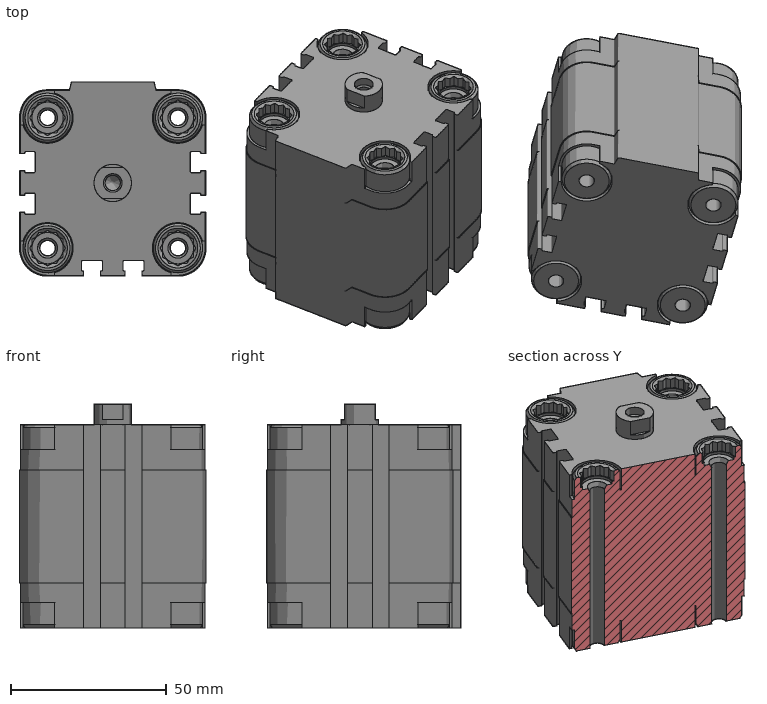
import cadquery as cq
import math

total_height = 72.0
rod_projection = 6.6
housing_height = total_height - rod_projection
barrel_width = 60.0
overall_depth = 62.5
barrel_half = barrel_width / 2
cap_inset = 0.3
cap_half = barrel_half - cap_inset
bottom_cap_height = 14.5
top_cap_height = 14.55
bolt_offset = 20.95

tab_back = overall_depth - barrel_half
tab_back_width = 26.6
tab_root_width = 27.9
tab_fillet = 0.35

slot_spacing = 13.4
slot_mouth_width = 5.4
slot_inner_width = 6.7
slot_floor = 25.0
slot_lip_depth = 1.7
slot_fillet = 0.3

collar_diameter = 15.85
collar_tip_diameter = 14.4
collar_pocket_diameter = 16.4
top_chamfer_height = 0.9
bottom_chamfer_height = 1.15
top_relief_depth = 7.9
bottom_relief_depth = 8.1
relief_reach = 2.3

socket_mouth_diameter = 12.75
socket_cone_depth = 0.7
socket_bore_diameter = 10.1
socket_depth = 5.0
star_tip_diameter = 11.45
star_depth = 4.0
hexagon_corners = 6
countersink_diameter = 6.4
countersink_depth = 1.5
bolt_hole_diameter = 4.9

rod_diameter = 12.0
rod_flat_width = 10.0
rod_flat_height = 5.0
rod_bottom = bottom_cap_height
rod_counterbore_diameter = 6.0
rod_counterbore_depth = 2.7
rod_hole_diameter = 4.9
rod_hole_depth = 18.0
drill_tip_angle = 118.0

bolt_centres = [(sx * bolt_offset, sy * bolt_offset) for sx in (-1, 1) for sy in (-1, 1)]


def cone(large_diameter, small_diameter, height):
    """Truncated cone standing on Z = 0 with its large end down."""
    base = cq.Workplane("XY").circle(large_diameter / 2)
    return base.workplane(offset=height).circle(small_diameter / 2).loft()


def rounded_block(half_width, height):
    """Square block whose corners are concentric with the bolts."""
    block = cq.Workplane("XY").rect(2 * half_width, 2 * half_width).extrude(height)
    return block.edges("|Z").fillet(half_width - bolt_offset)


def rear_tab(root_y, height):
    """Tapered tab on the +Y side, with its root corners on the face at Y = root_y."""
    outline = [
        (-tab_root_width / 2, root_y),
        (-tab_back_width / 2, tab_back),
        (tab_back_width / 2, tab_back),
        (tab_root_width / 2, root_y),
        (tab_root_width / 2, 0),
        (-tab_root_width / 2, 0),
    ]
    tab = cq.Workplane("XY").polyline(outline).close().extrude(height)
    return tab.faces(">Y").edges("|Z").fillet(tab_fillet)


def t_slot(across, height):
    """T-slot along Z, open toward -Y, centred on X = across, with rounded inner corners."""
    inner_depth = barrel_half - slot_lip_depth - slot_floor
    inner = cq.Workplane("XY").box(slot_inner_width, inner_depth, height, centered=(True, False, False))
    mouth_depth = barrel_half - slot_floor
    mouth = cq.Workplane("XY").box(slot_mouth_width, mouth_depth, height, centered=(True, False, False))
    slot = mouth.translate((0, -mouth_depth, 0)).union(inner.translate((0, -inner_depth, 0)))
    slot = slot.edges("|Z and (not <Y)").fillet(slot_fillet)
    return slot.translate((across, -slot_floor, 0))


def housing_section(half_width, z_bottom, z_top):
    """Slotted length of the housing with the rear tab and rounded slot mouths."""
    height = z_top - z_bottom
    section = rounded_block(half_width, height).union(rear_tab(half_width, height))
    tab_root_zone = cq.selectors.BoxSelector(
        (-bolt_offset + tab_fillet, half_width - tab_fillet, 0),
        (bolt_offset - tab_fillet, half_width + tab_fillet, height),
    )
    section = section.edges("|Z").edges(tab_root_zone).fillet(tab_fillet)
    mouth_zone = cq.selectors.BoxSelector(
        (-slot_spacing, -half_width - slot_fillet, 0),
        (slot_spacing, -half_width + slot_fillet, height),
    )
    for side_angle in (0, 90, -90):
        section = section.rotate((0, 0, 0), (0, 0, 1), side_angle)
        for side in (-1, 1):
            section = section.cut(t_slot(side * slot_spacing / 2, height))
        section = section.edges("|Z").edges(mouth_zone).fillet(slot_fillet)
        section = section.rotate((0, 0, 0), (0, 0, 1), -side_angle)
    return section.translate((0, 0, z_bottom))


def corner_relief(depth, chamfer_height):
    """Material removed around one collar whose end is at Z = 0, opening the +X +Y corner of the housing."""
    reach = barrel_half - bolt_offset + relief_reach
    relief = cq.Workplane("XY").box(reach, reach, depth, centered=(False, False, False))
    relief = relief.translate((-relief_reach, -relief_reach, -depth))
    pocket = cq.Workplane("XY").circle(collar_pocket_diameter / 2).extrude(-depth)
    shank = cq.Workplane("XY").workplane(offset=-depth).circle(collar_diameter / 2)
    shank = shank.extrude(depth - chamfer_height)
    chamfered_end = cone(collar_diameter, collar_tip_diameter, chamfer_height)
    collar = shank.union(chamfered_end.translate((0, 0, -chamfer_height)))
    return relief.union(pocket).cut(collar)


def star_socket():
    """Twelve-point socket with a conical mouth, a round bottom and a countersunk through hole; top at Z = 0."""
    hole = cq.Workplane("XY").circle(bolt_hole_diameter / 2).extrude(-housing_height)
    bore = cq.Workplane("XY").circle(socket_bore_diameter / 2).extrude(-socket_depth)
    mouth = cone(socket_mouth_diameter, socket_bore_diameter, socket_cone_depth).mirror("XY")
    countersink = cone(countersink_diameter, bolt_hole_diameter, countersink_depth).mirror("XY")
    socket = hole.union(bore).union(mouth).union(countersink.translate((0, 0, -socket_depth)))
    hexagon = cq.Workplane("XY").polygon(hexagon_corners, star_tip_diameter).extrude(-star_depth)
    turned_hexagon = hexagon.rotate((0, 0, 0), (0, 0, 1), 180 / hexagon_corners)
    return socket.union(hexagon).union(turned_hexagon)


def rod_cylinder():
    """Round envelope of the rod; also the bore it runs in."""
    base = cq.Workplane("XY").workplane(offset=rod_bottom).circle(rod_diameter / 2)
    return base.extrude(total_height - rod_bottom)


def make_housing():
    """Barrel and end caps with the corner bolt heads and the rod bore."""
    top_cap_bottom = housing_height - top_cap_height
    body = housing_section(cap_half, 0, bottom_cap_height)
    body = body.union(housing_section(barrel_half, bottom_cap_height, top_cap_bottom))
    body = body.union(housing_section(cap_half, top_cap_bottom, housing_height))
    top_relief = corner_relief(top_relief_depth, top_chamfer_height)
    bottom_relief = corner_relief(bottom_relief_depth, bottom_chamfer_height).mirror("XY")
    socket = star_socket()
    for x, y in bolt_centres:
        corner_turn = math.degrees(math.atan2(y, x)) - 45
        for relief, z in ((top_relief, housing_height), (bottom_relief, 0)):
            body = body.cut(relief.rotate((0, 0, 0), (0, 0, 1), corner_turn).translate((x, y, z)))
        body = body.cut(socket.translate((x, y, housing_height)))
    return body.cut(rod_cylinder())


def rod_hole():
    """Counterbored blind hole with a drill tip, opening at Z = 0."""
    mouth_radius = rod_counterbore_diameter / 2
    hole_radius = rod_hole_diameter / 2
    tip_depth = hole_radius / math.tan(math.radians(drill_tip_angle / 2))
    shoulder_depth = rod_counterbore_depth + mouth_radius - hole_radius
    hole_profile = [
        (0, 0),
        (mouth_radius, 0),
        (mouth_radius, -rod_counterbore_depth),
        (hole_radius, -shoulder_depth),
        (hole_radius, -rod_hole_depth),
        (0, -rod_hole_depth - tip_depth),
    ]
    profile = cq.Workplane("XZ").polyline(hole_profile).close()
    return profile.revolve(360, (0, 0, 0), (0, 1, 0))


def make_piston_rod():
    """Rod with two wrench flats facing -Y and +Y and a blind hole in its end."""
    rod = rod_cylinder()
    flats = cq.Workplane("XY").workplane(offset=total_height - rod_flat_height)
    flats = flats.rect(2 * rod_diameter, 2 * rod_diameter).rect(2 * rod_diameter, rod_flat_width)
    rod = rod.cut(flats.extrude(rod_flat_height))
    return rod.cut(rod_hole().translate((0, 0, total_height)))


housing = make_housing()
piston_rod = make_piston_rod()
result = cq.Compound.makeCompound([housing.val(), piston_rod.val()])